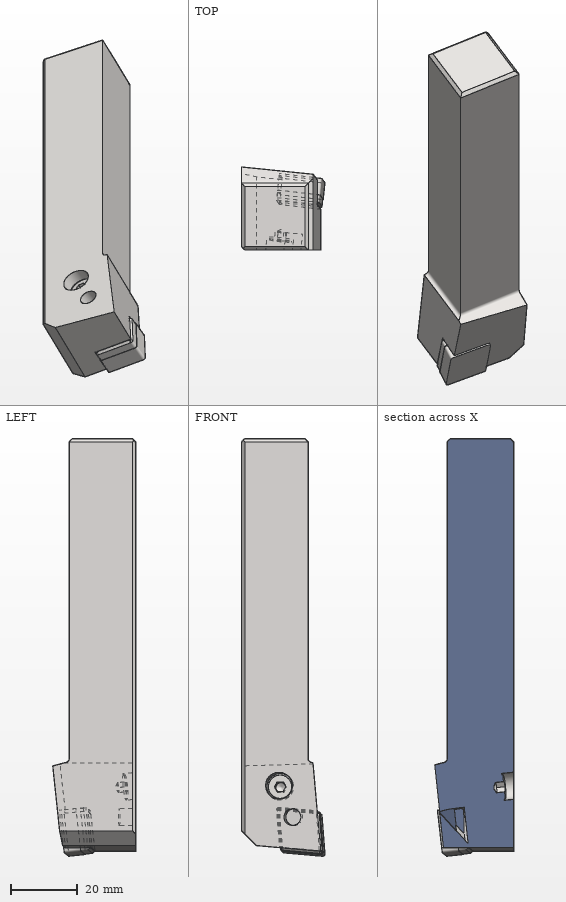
import cadquery as cq
import math

TOTAL_LENGTH = 125.0
SHANK_WIDTH = 20.0
SHANK_EDGE_CHAMFER = 1.0
SHANK_END_CHAMFER = 1.0

HEAD_CORNER_X = 23.8
HEAD_CORNER_Z = 1.5
HEAD_SHOULDER_Z = 28.4
HEAD_BACK_Y = 24.9
HEAD_BACK_Z = 26.9
HEAD_CORNER_CHAMFER_Z = 7.6
SHOULDER_FILLET = 1.0
SHOULDER_ANGLE = 15.0
LEAD_ANGLE = 5.0

TIP_X = 25.0
TIP_Y = 20.0
SEAT_ANGLE = 6.0
SEAT_SLOPE = math.tan(math.radians(SEAT_ANGLE))

INSERT_CIRCLE = 12.8
INSERT_ANGLE = 80.0
INSERT_THICKNESS = 5.0
INSERT_NOSE_RADIUS = 0.8
SHIM_THICKNESS = 3.0
SHIM_INSET = 0.1
SHIM_CHAMFER = 0.8

SCREW_X = 11.2
SCREW_Z = 21.1
SCREW_BORE_DIAMETER = 8.0
SCREW_HEAD_DEPTH = 2.9
SCREW_HEAD_CHAMFER = 0.5
SOCKET_SIZE = 3.0
SOCKET_DEPTH = 2.5
SOCKET_POINT_ANGLE = 118.0

PIN_X = 15.2
PIN_Z = 11.8
PIN_BORE_DIAMETER = 5.0
PIN_BORE_DEPTH = 5.0

SEAT_AXIS = cq.Vector(SEAT_SLOPE, 1, -SEAT_SLOPE)
PIN_AXIS = cq.Vector(SEAT_SLOPE, 1, 0)
SEAT_SIDEWAYS = cq.Vector(1, -SEAT_SLOPE, 0)
RUN_OUT = 3 * SHANK_WIDTH


def make_shank():
    length = TOTAL_LENGTH - HEAD_SHOULDER_Z
    shank = cq.Workplane("XY").box(SHANK_WIDTH, SHANK_WIDTH, length, centered=False)
    shank = shank.translate((0, 0, HEAD_SHOULDER_Z))
    return shank.faces(">Z").chamfer(SHANK_END_CHAMFER)


def make_head():
    """Wider lower end, leaning at its side and bottom and sloping at its back."""
    lead = math.tan(math.radians(LEAD_ANGLE))
    shoulder = math.tan(math.radians(SHOULDER_ANGLE))
    shoulder_run = HEAD_CORNER_X - lead * (HEAD_SHOULDER_Z - HEAD_CORNER_Z) - SHANK_WIDTH
    step_x = SHANK_WIDTH + shoulder_run / (1 - lead * shoulder)
    step_z = HEAD_SHOULDER_Z - shoulder * (step_x - SHANK_WIDTH)
    left_z = HEAD_CORNER_Z + lead * HEAD_CORNER_X
    chamfer_width = (HEAD_CORNER_CHAMFER_Z - left_z) / (1 - lead)
    side = (
        cq.Workplane("XZ")
        .polyline([
            (0, HEAD_SHOULDER_Z),
            (SHANK_WIDTH, HEAD_SHOULDER_Z),
            (step_x, step_z),
            (HEAD_CORNER_X, HEAD_CORNER_Z),
            (chamfer_width, HEAD_CORNER_CHAMFER_Z - chamfer_width),
            (0, HEAD_CORNER_CHAMFER_Z),
        ])
        .close()
        .extrude(-RUN_OUT)
    )
    drop = shoulder * (RUN_OUT - SHANK_WIDTH)
    back_shoulder = (
        cq.Workplane("YZ")
        .polyline([(0, 0), (0, HEAD_SHOULDER_Z), (SHANK_WIDTH, HEAD_SHOULDER_Z),
                   (RUN_OUT, HEAD_SHOULDER_Z - drop), (RUN_OUT, 0)])
        .close()
        .extrude(RUN_OUT)
    )
    back = cq.Plane(origin=(0, HEAD_BACK_Y, HEAD_BACK_Z), xDir=SEAT_SIDEWAYS, normal=SEAT_AXIS)
    beyond_back = cq.Workplane(back).rect(2 * RUN_OUT, 2 * RUN_OUT).extrude(RUN_OUT)
    return side.intersect(back_shoulder).cut(beyond_back)


def seat_plane(depth):
    """Plane parallel to the upper insert face, the given depth below the cutting tip."""
    tip = cq.Vector(TIP_X, TIP_Y, 0)
    return cq.Plane(origin=tip - SEAT_AXIS.normalized() * depth, xDir=SEAT_SIDEWAYS, normal=SEAT_AXIS)


def rhombus_prism(top_depth, thickness, inset):
    """Round-cornered rhombus on the insert axis, its sides moved in by the inset."""
    half = math.radians(INSERT_ANGLE / 2)
    corner = INSERT_NOSE_RADIUS * (1 / math.sin(half) / math.sqrt(2) - 1)
    to_center = INSERT_CIRCLE / 2 / math.sin(half) / math.sqrt(2)
    center = corner - to_center
    radius = INSERT_CIRCLE / 2 - inset
    long_half = radius / math.sin(half)
    short_half = radius / math.cos(half)
    return (
        cq.Workplane(seat_plane(top_depth))
        .center(center, center)
        .transformed(rotate=(0, 0, 45))
        .polyline([(long_half, 0), (0, short_half), (-long_half, 0), (0, -short_half)])
        .close()
        .extrude(-thickness)
        .edges(cq.selectors.ParallelDirSelector(SEAT_AXIS))
        .fillet(INSERT_NOSE_RADIUS)
    )


def front_plane(x, z, axis, depth=0.0):
    """Plane square to a bore axis, the given depth along it from the front face at X, Z."""
    start = cq.Vector(x, 0, z) + axis.normalized() * depth
    return cq.Plane(origin=start, xDir=SEAT_SIDEWAYS, normal=axis)


def screw_recess():
    """Bore down to the chamfered screw head, with the hexagon socket in the head."""
    bore_radius = SCREW_BORE_DIAMETER / 2
    mouth = front_plane(SCREW_X, SCREW_Z, SEAT_AXIS, -bore_radius)
    head_top = front_plane(SCREW_X, SCREW_Z, SEAT_AXIS, SCREW_HEAD_DEPTH)
    socket_end = front_plane(SCREW_X, SCREW_Z, SEAT_AXIS, SCREW_HEAD_DEPTH + SOCKET_DEPTH)

    bore_length = bore_radius + SCREW_HEAD_DEPTH + SCREW_HEAD_CHAMFER
    bore = cq.Workplane(mouth).circle(bore_radius).extrude(bore_length)
    head = cq.Solid.makeCone(
        bore_radius - SCREW_HEAD_CHAMFER, bore_radius, SCREW_HEAD_CHAMFER, head_top.origin, SEAT_AXIS
    )
    socket_corners = SOCKET_SIZE / math.cos(math.pi / 6)
    socket = cq.Workplane(head_top).polygon(6, socket_corners).extrude(SOCKET_DEPTH)
    point_length = SOCKET_SIZE / 2 / math.tan(math.radians(SOCKET_POINT_ANGLE / 2))
    point = cq.Solid.makeCone(SOCKET_SIZE / 2, 0, point_length, socket_end.origin, SEAT_AXIS)
    return bore.cut(cq.Workplane(head)).union(socket).union(cq.Workplane(point))


def pin_bore():
    mouth = front_plane(PIN_X, PIN_Z, PIN_AXIS, -PIN_BORE_DIAMETER / 2)
    return cq.Workplane(mouth).circle(PIN_BORE_DIAMETER / 2).extrude(PIN_BORE_DIAMETER / 2 + PIN_BORE_DEPTH)


def make_shim():
    shim = rhombus_prism(INSERT_THICKNESS, SHIM_THICKNESS, SHIM_INSET)
    return shim.faces(cq.selectors.DirectionMinMaxSelector(-SEAT_AXIS)).chamfer(SHIM_CHAMFER)


def shoulder_edges():
    """Selector for the two inner edges where the shank meets the shoulders of the head."""
    near = 0.1
    low = HEAD_SHOULDER_Z - near
    inside = SHANK_WIDTH - near
    high_corner = (SHANK_WIDTH + near, SHANK_WIDTH + near, HEAD_SHOULDER_Z + near)
    back_edge = cq.selectors.BoxSelector((-near, inside, low), high_corner)
    side_edge = cq.selectors.BoxSelector((inside, -near, low), high_corner)
    return back_edge + side_edge


def long_edge_chamfer():
    """Wedge along the whole front left edge of the holder."""
    size = SHANK_EDGE_CHAMFER
    return cq.Workplane("XY").polyline([(0, 0), (size, 0), (0, size)]).close().extrude(TOTAL_LENGTH)


def make_holder():
    """Shank and head, with the shim and the clamp screw as part of the same solid."""
    pocket_depth = INSERT_THICKNESS + SHIM_THICKNESS
    pocket = rhombus_prism(-RUN_OUT, RUN_OUT + pocket_depth, 0)
    holder = make_shank().union(make_head()).edges(shoulder_edges()).fillet(SHOULDER_FILLET)
    holder = holder.cut(long_edge_chamfer()).cut(pocket).union(make_shim())
    return holder.cut(screw_recess()).cut(pin_bore())


holder = make_holder()
insert = rhombus_prism(0, INSERT_THICKNESS, 0)

result = cq.Compound.makeCompound([holder.val(), insert.val()])